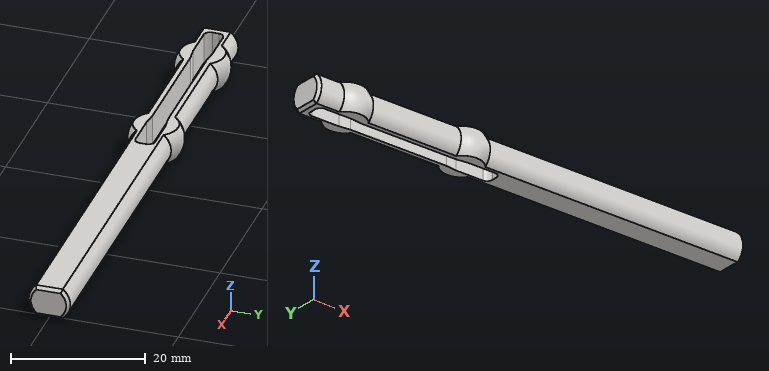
import cadquery as cq
import math

pin_length = 81.25
pin_diameter = 6.5
flat_thickness = 5.0
end_chamfer = 0.5

bulge_diameter = 8.54
first_bulge_x = 7.6
bulge_spacing = 22.25
second_bulge_x = first_bulge_x + bulge_spacing

slot_start_x = 1.5
slot_end_x = 36.0
slot_wide = 3.0
slot_narrow = 2.5
slot_corner_radius = 1.0
slot_taper_length = 2.0


def make_rod():
    """Rod with parallel flats and chamfered ends, starting at X = 0."""
    half_thickness = flat_thickness / 2
    flat_half_width = math.sqrt((pin_diameter / 2) ** 2 - half_thickness**2)
    return (
        cq.Workplane("YZ")
        .moveTo(-flat_half_width, half_thickness)
        .lineTo(flat_half_width, half_thickness)
        .threePointArc((pin_diameter / 2, 0), (flat_half_width, -half_thickness))
        .lineTo(-flat_half_width, -half_thickness)
        .threePointArc((-pin_diameter / 2, 0), (-flat_half_width, half_thickness))
        .close()
        .extrude(pin_length)
        .faces("<X or >X")
        .chamfer(end_chamfer)
    )


def make_bulge(center_x):
    """Sphere on the rod axis, trimmed to the thickness across the flats."""
    slab = cq.Workplane("XY").box(bulge_diameter, bulge_diameter, flat_thickness)
    return cq.Workplane("XY").sphere(bulge_diameter / 2).intersect(slab).translate((center_x, 0, 0))


def make_slot():
    """Slot cutter: rounded corners at both ends, tapering to the narrow middle."""
    wide_y = slot_wide / 2
    narrow_y = slot_narrow / 2
    narrow_start_x = first_bulge_x + slot_taper_length
    narrow_end_x = second_bulge_x - slot_taper_length
    return (
        cq.Workplane("XY")
        .workplane(offset=-flat_thickness / 2)
        .moveTo(slot_start_x, wide_y)
        .lineTo(first_bulge_x, wide_y)
        .lineTo(narrow_start_x, narrow_y)
        .lineTo(narrow_end_x, narrow_y)
        .lineTo(second_bulge_x, wide_y)
        .lineTo(slot_end_x, wide_y)
        .lineTo(slot_end_x, -wide_y)
        .lineTo(second_bulge_x, -wide_y)
        .lineTo(narrow_end_x, -narrow_y)
        .lineTo(narrow_start_x, -narrow_y)
        .lineTo(first_bulge_x, -wide_y)
        .lineTo(slot_start_x, -wide_y)
        .close()
        .extrude(flat_thickness)
        .faces("<X or >X")
        .edges("|Z")
        .fillet(slot_corner_radius)
    )


pin = make_rod()
for bulge_x in (first_bulge_x, second_bulge_x):
    pin = pin.union(make_bulge(bulge_x))

result = pin.cut(make_slot())